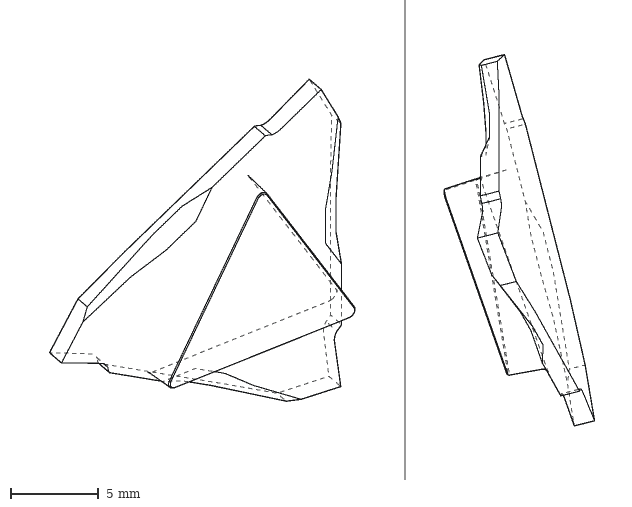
import cadquery as cq
import math

CORNERS = 3
TURN = 360 / CORNERS
PLATE_THICKNESS = 1.12
FLANK = 7.1

SHOULDER = (FLANK, 7.95)
TIP = (5.53, 11.15)
NOTCH_START = (2.86, 9.28)
NOTCH_MIDDLE = (2.56, 9.17)
NOTCH_FLOOR = (2.28, 9.15)
NOTCH_RISE = (2.02, 9.24)
NOTCH_END_Y = 1.83
HALF_TURN_RADIANS = math.radians(TURN / 2)
NOTCH_END_Z = (FLANK + NOTCH_END_Y * math.cos(HALF_TURN_RADIANS)) / math.sin(HALF_TURN_RADIANS)
NOTCH_END = (NOTCH_END_Y, NOTCH_END_Z)

FOLD_START = (FLANK, 4.1)
TIP_BOTTOM_RISE = 0.14
TIP_TOP_RISE = 0.24

GROOVE_SHOULDER_HEIGHT = 1.05
GROOVE_FLOOR_HEIGHT = 0.55
GROOVE_FLOOR_NEAR = 5.6
GROOVE_FLOOR_FAR = 7.97
GROOVE_END = 9.9
GROOVE_INWARD_SLOPE = 0.5
GROOVE_REACH = 1.18

BOSS_TOP = 3.5
BOSS_INRADIUS = 3.98
BOSS_DRAFT = 2.0
BOSS_CORNER_RADIUS = 0.43
BOSS_FOOT_RADIUS = 0.43
BOSS_TOP_CHAMFER = 0.06

MARGIN = 0.65
TOLERANCE = 0.0002


def turned(point, angle):
    """Turn a (Y, Z) point about the X axis."""
    c = math.cos(math.radians(angle))
    s = math.sin(math.radians(angle))
    return (point[0] * c - point[1] * s, point[0] * s + point[1] * c)


def at_each_corner(shape):
    return [shape.rotate((0, 0, 0), (1, 0, 0), i * TURN) for i in range(CORNERS)]


def outline_prism(height):
    path = cq.Workplane("YZ").moveTo(*SHOULDER)
    for i in range(CORNERS):
        angle = i * TURN
        path = path.lineTo(*turned(SHOULDER, angle)) if i else path
        path = path.lineTo(*turned(TIP, angle)).lineTo(*turned(NOTCH_START, angle))
        path = path.threePointArc(turned(NOTCH_MIDDLE, angle), turned(NOTCH_FLOOR, angle))
        path = path.lineTo(*turned(NOTCH_RISE, angle)).lineTo(*turned(NOTCH_END, angle))
    return path.close().extrude(height)


def fold_wedge(base, rise):
    """Wedge that grows from the fold line to the given rise at the tip."""
    along_y = NOTCH_START[0] - FOLD_START[0]
    along_z = NOTCH_START[1] - FOLD_START[1]
    length = math.hypot(along_y, along_z)
    outward = (0, along_z / length, -along_y / length)
    to_tip = (TIP[0] - FOLD_START[0]) * outward[1] + (TIP[1] - FOLD_START[1]) * outward[2]
    reach = to_tip + MARGIN
    plane = cq.Plane(
        origin=(base, *FOLD_START),
        xDir=outward,
        normal=(0, -along_y / length, -along_z / length),
    )
    profile = [(0, 0), (reach, 0), (reach, rise * reach / to_tip)]
    return cq.Workplane(plane).polyline(profile).close().extrude(2 * length, both=True)


def chip_groove():
    """Dip along the side whose floor climbs towards the middle of the plate."""
    slope = (GROOVE_SHOULDER_HEIGHT - GROOVE_FLOOR_HEIGHT) / GROOVE_FLOOR_NEAR
    drop = MARGIN * GROOVE_INWARD_SLOPE
    overrun = TIP[1] - SHOULDER[1] + MARGIN
    ceiling = PLATE_THICKNESS + TIP_TOP_RISE + MARGIN
    profile = [
        (-overrun, GROOVE_SHOULDER_HEIGHT + slope * overrun),
        (GROOVE_FLOOR_NEAR, GROOVE_FLOOR_HEIGHT),
        (GROOVE_FLOOR_FAR, GROOVE_FLOOR_HEIGHT),
        (GROOVE_END, PLATE_THICKNESS),
        (GROOVE_END, ceiling),
        (-overrun, ceiling),
    ]
    points = [cq.Vector(x - drop, FLANK + MARGIN, SHOULDER[1] - back) for back, x in profile]
    wire = cq.Wire.makePolygon(points, close=True)
    depth = GROOVE_REACH + MARGIN
    sweep = cq.Vector(depth * GROOVE_INWARD_SLOPE, -depth, 0)
    return cq.Workplane(cq.Solid.extrudeLinear(wire, [], sweep))


def boss():
    radius = 2 * BOSS_INRADIUS
    corners = [turned((0, radius), i * TURN) for i in range(CORNERS)]
    height = BOSS_TOP - PLATE_THICKNESS
    body = cq.Workplane("YZ", origin=(PLATE_THICKNESS, 0, 0)).polyline(corners).close()
    body = body.extrude(height, taper=BOSS_DRAFT)
    body = body.edges(
        cq.selectors.BoxSelector(
            (PLATE_THICKNESS + MARGIN, -radius, -radius),
            (BOSS_TOP - MARGIN, radius, radius),
        )
    ).fillet(BOSS_CORNER_RADIUS)
    return body.faces(">X").chamfer(BOSS_TOP_CHAMFER)


def is_boss_foot(edge):
    """True for edges on the plate surface that lie inside the boss's corner circle."""
    return all(
        abs(v.X - PLATE_THICKNESS) < TOLERANCE and math.hypot(v.Y, v.Z) < 2 * BOSS_INRADIUS
        for v in edge.Vertices()
    )


result = outline_prism(PLATE_THICKNESS).union(boss())
foot_edges = [edge for edge in result.edges().vals() if is_boss_foot(edge)]
result = result.newObject(foot_edges).fillet(BOSS_FOOT_RADIUS)

tall_outline = outline_prism(BOSS_TOP)
for wedge in at_each_corner(fold_wedge(0, TIP_BOTTOM_RISE)):
    result = result.cut(wedge)
for wedge in at_each_corner(fold_wedge(PLATE_THICKNESS, TIP_TOP_RISE)):
    result = result.union(tall_outline.intersect(wedge))

for groove in at_each_corner(chip_groove()):
    result = result.cut(groove)